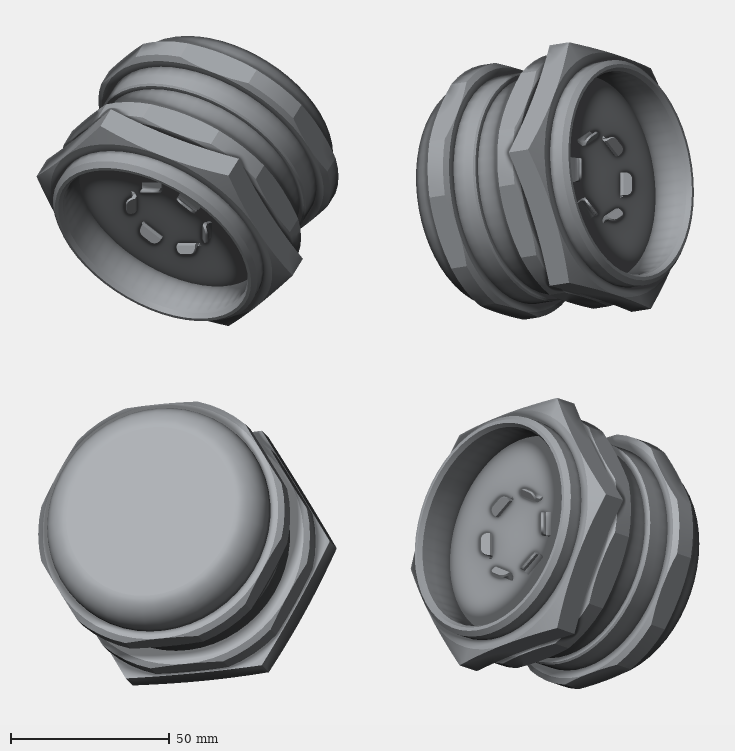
import cadquery as cq
import math


total_length = 61.6
flange_across_corners = 90.1
across_flats = flange_across_corners * math.cos(math.pi / 6)

spigot_radius = 72.0 / 2
mouth_edge_radius = 69.0 / 2
spigot_chamfer = spigot_radius - mouth_edge_radius
bore_radius = 65.0 / 2
bore_depth = 13.4
bore_chamfer_width = 0.9
bore_chamfer_length = 1.5

flange_front = 6.0
flange_thickness = 8.2
flange_back = flange_front + flange_thickness
flange_front_cone = 2.2
flange_back_cone = 1.4

ring_outer_radius = 37.0
ring_section_radius = 1.2

nut_thickness = 8.1
nut_corner_radius = 40.8
nut_chamfer = 1.1
lock_nut_front = 16.0
cap_nut_front = 43.0

body_radius = 69.0 / 2
cap_radius = 73.0 / 2
cap_front = 34.95
cap_chamfer = 0.5
dome_fillet = 8.6

finger_count = 6
finger_inner_radius = 11.9
finger_outer_radius = 14.2
finger_web_thickness = 1.2
finger_web_start = 1.0
finger_web_end = 2.1
finger_tip_run = 2.0
finger_tip_thickness = 0.7
finger_length = 7.4
finger_foot_length = 7.9
finger_corner_radius = 2.2


def revolve_profile(points):
    """Turn a closed outline of (radius, y) points around the Y axis."""
    return cq.Workplane("XY").polyline(points).close().revolve(360, (0, 0, 0), (0, 1, 0))


def cylinder(radius, front, back):
    """Plain cylinder on the Y axis."""
    return revolve_profile([(0, front), (radius, front), (radius, back), (0, back)])


def hexagon(front, back):
    """Hexagonal prism on the Y axis with corners on +X and -X."""
    prism = cq.Workplane("XZ").polygon(6, flange_across_corners).extrude(front - back)
    return prism.translate((0, front, 0))


def make_flange():
    """Hexagon whose corners are trimmed by cones on both faces."""
    flat_radius = across_flats / 2
    corner_radius = flange_across_corners / 2
    envelope = revolve_profile([
        (0, flange_front),
        (flat_radius, flange_front),
        (corner_radius, flange_front + flange_front_cone),
        (corner_radius, flange_back + flange_back_cone),
        (flat_radius, flange_back),
        (0, flange_back),
    ])
    return hexagon(flange_front, flange_back + flange_back_cone).intersect(envelope)


def make_ring():
    """Half-round bead whose flat inner side is buried in the spigot."""
    inner_radius = ring_outer_radius - ring_section_radius
    front = lock_nut_front - 2 * ring_section_radius
    section = (
        cq.Workplane("XY")
        .moveTo(inner_radius, front)
        .threePointArc((ring_outer_radius, front + ring_section_radius), (inner_radius, lock_nut_front))
        .close()
    )
    return section.revolve(360, (0, 0, 0), (0, 1, 0))


def make_nut(front):
    """Hexagon nut with chamfered, cylindrical corners."""
    back = front + nut_thickness
    flat_radius = across_flats / 2
    envelope = revolve_profile([
        (0, front),
        (flat_radius, front),
        (nut_corner_radius, front + nut_chamfer),
        (nut_corner_radius, back - nut_chamfer),
        (flat_radius, back),
        (0, back),
    ])
    return hexagon(front, back).intersect(envelope)


def make_cap():
    """Domed cap with a small chamfer on its front rim."""
    cap = cylinder(cap_radius, cap_front, total_length)
    return cap.faces("<Y").chamfer(cap_chamfer).faces(">Y").edges().fillet(dome_fillet)


def make_bore():
    """Blind bore, widened by a chamfer at the mouth."""
    return revolve_profile([
        (0, 0),
        (bore_radius + bore_chamfer_width, 0),
        (bore_radius, bore_chamfer_length),
        (bore_radius, bore_depth),
        (0, bore_depth),
    ])


def extrude_finger_part(points, length):
    """Extrude an outline of (radius, height) points evenly about the finger's middle plane."""
    outline = [(radius, bore_depth - height) for radius, height in points]
    return cq.Workplane("XY").polyline(outline).close().extrude(length / 2, both=True)


def make_finger():
    """One finger on the +X side, with 45 degree bends and rounded tip corners."""
    web_outer_radius = finger_inner_radius + finger_web_thickness
    foot_run = finger_outer_radius - web_outer_radius
    tip_radius = finger_inner_radius + finger_tip_run
    tip_height = finger_web_end + finger_tip_run
    tip_offset = finger_tip_thickness / math.sqrt(2)
    outer_tip_radius = tip_radius + tip_offset
    outer_tip_height = tip_height - tip_offset

    strip = extrude_finger_part([
        (finger_inner_radius + finger_web_start, 0),
        (finger_inner_radius, finger_web_start),
        (finger_inner_radius, finger_web_end),
        (tip_radius, tip_height),
        (outer_tip_radius, outer_tip_height),
        (web_outer_radius, outer_tip_height - (outer_tip_radius - web_outer_radius)),
        (web_outer_radius, 0),
    ], finger_length)
    foot = extrude_finger_part([
        (web_outer_radius, 0),
        (finger_outer_radius, 0),
        (web_outer_radius, foot_run),
    ], finger_foot_length)
    tip_corners = strip.faces(">(1, -1, 0)").edges("|(1, 1, 0)")
    return tip_corners.fillet(finger_corner_radius).union(foot)


spigot = cylinder(spigot_radius, 0, flange_back).faces("<Y").chamfer(spigot_chamfer)
body = cylinder(body_radius, flange_front, cap_nut_front)

result = (
    spigot.union(make_flange())
    .union(make_ring())
    .union(make_nut(lock_nut_front))
    .union(body)
    .union(make_nut(cap_nut_front))
    .union(make_cap())
    .cut(make_bore())
)

finger = make_finger()
for index in range(finger_count):
    angle = index * 360 / finger_count
    result = result.union(finger.rotate((0, 0, 0), (0, 1, 0), angle))